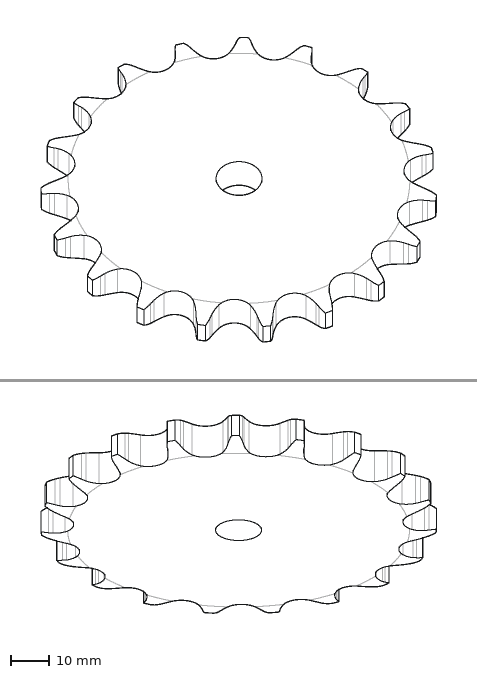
import cadquery as cq
import math

TEETH = 19
CHAIN_PITCH = 15.9
ROLLER_DIAMETER = 10.2
SEATING_ALLOWANCE = 0.076
TIP_RADIUS = 51.7
THICKNESS = 9.1
BORE_DIAMETER = 12.0
FLAT_FACE_RADIUS = 44.5
TIP_DROP = 1.5
CUTTER_CLEARANCE = 0.5

HALF_GAP_ANGLE = math.pi / TEETH
PITCH_RADIUS = CHAIN_PITCH / 2 / math.sin(HALF_GAP_ANGLE)

SEATING_RADIUS = (1.005 * ROLLER_DIAMETER + SEATING_ALLOWANCE) / 2
WORKING_CENTRE_OFFSET = 0.8 * ROLLER_DIAMETER
TOPPING_CENTRE_OFFSET = 1.4 * ROLLER_DIAMETER
SEATING_ANGLE = math.radians(35 + 60 / TEETH)
WORKING_ANGLE = math.radians(18 - 56 / TEETH)


def offset(origin, distance, angle):
    """Point at a distance and direction from an origin."""
    return (origin[0] + distance * math.cos(angle), origin[1] + distance * math.sin(angle))


def direction(origin, target):
    """Direction angle from one point to another, from 0 to a full turn."""
    return math.atan2(target[1] - origin[1], target[0] - origin[0]) % (2 * math.pi)


def mirrored(point):
    return (-point[0], point[1])


def make_blank():
    """Disc with side faces that curve inward, tangent to the flats, towards the tips."""
    half_thickness = THICKNESS / 2
    tip_half_thickness = half_thickness - TIP_DROP
    side_depth = TIP_RADIUS - FLAT_FACE_RADIUS
    side_radius = (side_depth**2 + TIP_DROP**2) / (2 * TIP_DROP)
    half_sweep = math.asin(side_depth / side_radius) / 2
    mid_radius = FLAT_FACE_RADIUS + side_radius * math.sin(half_sweep)
    mid_height = half_thickness - side_radius * (1 - math.cos(half_sweep))
    profile = (
        cq.Workplane("XZ")
        .moveTo(0, -half_thickness)
        .lineTo(FLAT_FACE_RADIUS, -half_thickness)
        .threePointArc((mid_radius, -mid_height), (TIP_RADIUS, -tip_half_thickness))
        .lineTo(TIP_RADIUS, tip_half_thickness)
        .threePointArc((mid_radius, mid_height), (FLAT_FACE_RADIUS, half_thickness))
        .lineTo(0, half_thickness)
        .close()
    )
    return profile.revolve(360, (0, 0, 0), (0, 1, 0))


def make_gap_cutter():
    """Tooth gap centred on +Y; the left flank is worked out and mirrored."""
    roller_centre = (0, PITCH_RADIUS)
    root = (0, PITCH_RADIUS - SEATING_RADIUS)

    working_centre = offset(roller_centre, WORKING_CENTRE_OFFSET, SEATING_ANGLE)
    working_radius = WORKING_CENTRE_OFFSET + SEATING_RADIUS
    seat_end_angle = math.pi + SEATING_ANGLE
    flank_angle = seat_end_angle - WORKING_ANGLE
    seat_end = offset(roller_centre, SEATING_RADIUS, seat_end_angle)
    working_mid = offset(working_centre, working_radius, seat_end_angle - WORKING_ANGLE / 2)
    working_end = offset(working_centre, working_radius, flank_angle)

    topping_centre = offset(roller_centre, TOPPING_CENTRE_OFFSET, math.pi + HALF_GAP_ANGLE)
    topping_radius = (
        WORKING_CENTRE_OFFSET * math.cos(WORKING_ANGLE)
        + TOPPING_CENTRE_OFFSET * math.cos(flank_angle - math.pi - HALF_GAP_ANGLE)
        - working_radius
    )
    topping_start_angle = flank_angle - math.pi
    topping_start = offset(topping_centre, topping_radius, topping_start_angle)

    cutter_radius = TIP_RADIUS + CUTTER_CLEARANCE
    centre_distance = math.hypot(*topping_centre)
    angle_at_centre = math.acos(
        (topping_radius**2 + centre_distance**2 - cutter_radius**2)
        / (2 * topping_radius * centre_distance)
    )
    topping_end_angle = direction(topping_centre, (0, 0)) + angle_at_centre - 2 * math.pi
    topping_mid_angle = (topping_start_angle + topping_end_angle) / 2
    topping_mid = offset(topping_centre, topping_radius, topping_mid_angle)
    topping_end = offset(topping_centre, topping_radius, topping_end_angle)

    return (
        cq.Workplane("XY")
        .workplane(offset=-THICKNESS)
        .moveTo(*topping_end)
        .threePointArc(topping_mid, topping_start)
        .lineTo(*working_end)
        .threePointArc(working_mid, seat_end)
        .threePointArc(root, mirrored(seat_end))
        .threePointArc(mirrored(working_mid), mirrored(working_end))
        .lineTo(*mirrored(topping_start))
        .threePointArc(mirrored(topping_mid), mirrored(topping_end))
        .threePointArc((0, cutter_radius), topping_end)
        .close()
        .extrude(2 * THICKNESS)
    )


result = make_blank()
gap_cutter = make_gap_cutter()
for gap in range(TEETH):
    result = result.cut(gap_cutter.rotate((0, 0, 0), (0, 0, 1), gap * 360 / TEETH))

bore = cq.Workplane("XY").circle(BORE_DIAMETER / 2).extrude(THICKNESS, both=True)
result = result.cut(bore)